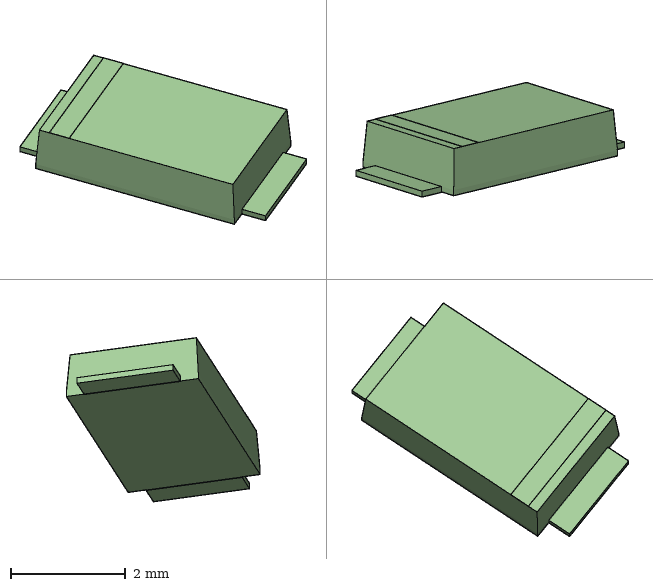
import cadquery as cq

overall_length = 4.7
overall_height = 0.85

housing_length = 3.8
housing_width = 2.4
housing_underside = 0.01
base_height = 0.1
top_inset = 0.05

band_thickness = 0.005
band_length = 0.38
band_center_x = -1.47

lead_width = 1.75

housing_top = overall_height - band_thickness
parting_height = housing_underside + base_height
top_length = housing_length - 2 * top_inset
top_width = housing_width - 2 * top_inset
lead_length = (overall_length - housing_length) / 2
lead_thickness = parting_height
lead_center_x = (housing_length + lead_length) / 2


def block(length, width, height, center_x, bottom):
    """Box centered on Y = 0, standing on the given bottom height."""
    return cq.Workplane("XY").box(length, width, height, centered=(True, True, False)).translate(
        (center_x, 0, bottom)
    )


def make_housing():
    base = block(housing_length, housing_width, base_height, 0, housing_underside)
    tapered_top = (
        cq.Workplane("XY")
        .workplane(offset=parting_height)
        .rect(housing_length, housing_width)
        .workplane(offset=housing_top - parting_height)
        .rect(top_length, top_width)
        .loft(ruled=True)
    )
    return base.union(tapered_top)


def make_band():
    return block(band_length, top_width, band_thickness, band_center_x, housing_top)


def make_lead(side):
    """Lead on the -X end (side = -1) or the +X end (side = 1)."""
    return block(lead_length, lead_width, lead_thickness, side * lead_center_x, 0)


housing = make_housing()
band = make_band()
leads = []
for side in (-1, 1):
    leads.append(make_lead(side).val())

result = cq.Compound.makeCompound([housing.val(), band.val(), *leads])